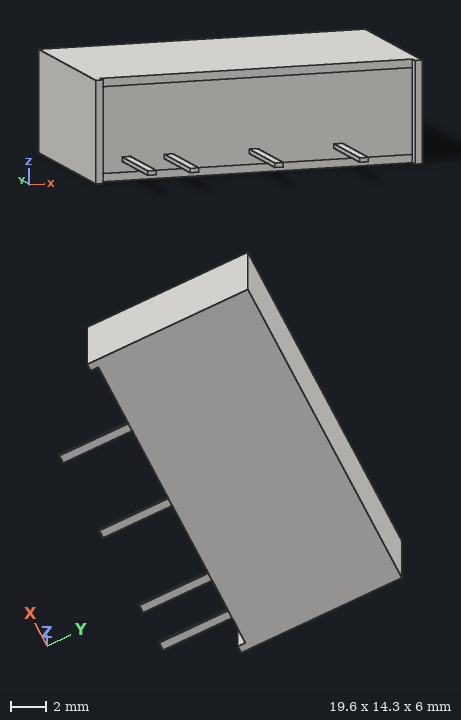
import cadquery as cq

case_width = 19.6
case_height = 6.0
case_depth = 10.21
pin_reach = 4.1

side_wall = 0.45
plate_wall = 0.49
rim_setback = 0.49

pin_width = 0.5
pin_thickness = 0.25
pin_height = 1.25
first_pin_offset = 2.0
pin_row_length = 12.7
pin_slots = [0, 1, 3, 5]

pin_pitch = pin_row_length / pin_slots[-1]
rim_y = rim_setback
inner_width = case_width - 2 * side_wall
inner_height = case_height - 2 * plate_wall
filling_depth = case_depth - rim_setback - plate_wall
pin_length = pin_reach + rim_setback


def block(width, depth, height, front_y, bottom_z):
    """Box centred on X = 0, running back from front_y and up from bottom_z."""
    return (
        cq.Workplane("XY")
        .box(width, depth, height, centered=(True, False, False))
        .translate((0, front_y, bottom_z))
    )


def make_case():
    """Box open at the front, with side walls standing proud of the top and bottom rims."""
    shell = block(case_width, case_depth, case_height, 0, 0)
    setback = block(inner_width, rim_setback, case_height, 0, 0)
    cavity = block(inner_width, filling_depth, inner_height, rim_y, plate_wall)
    return shell.cut(setback).cut(cavity)


def make_filling():
    """Potting block that fills the cavity flush with the top and bottom rims."""
    return block(inner_width, filling_depth, inner_height, rim_y, plate_wall)


def make_pin(slot):
    """Flat pin standing on the front face of the filling."""
    pin_x = first_pin_offset + slot * pin_pitch - case_width / 2
    pin_bottom = pin_height - pin_thickness / 2
    pin = block(pin_width, pin_length, pin_thickness, -pin_reach, pin_bottom)
    return pin.translate((pin_x, 0, 0))


case = make_case()
filling = make_filling()
pins = [make_pin(slot) for slot in pin_slots]

result = cq.Compound.makeCompound([case.val(), filling.val(), *[pin.val() for pin in pins]])